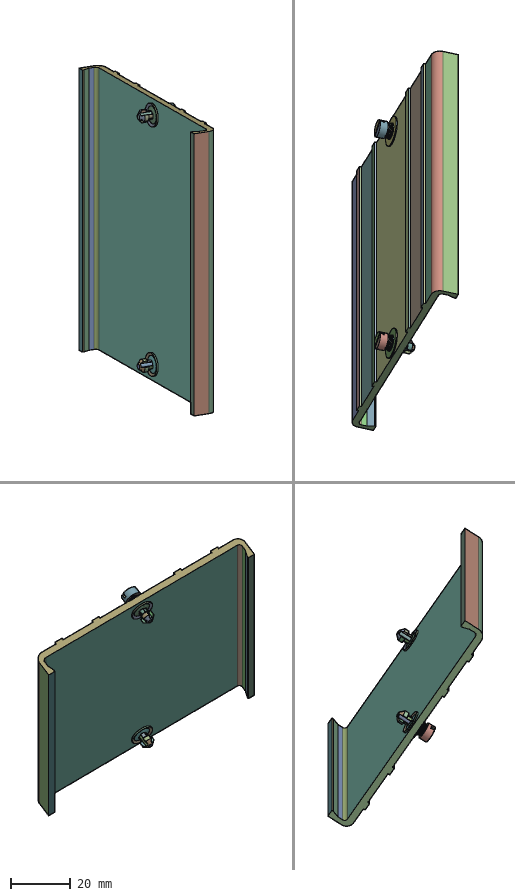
import cadquery as cq
import math

plate_width = 83.2
plate_length = 99.5
web_thickness = 2.5
channel_depth = 8.6
flange_thickness = 1.7
outer_bend_radius = 3.0
inner_bend_radius = 1.2

lip_thickness = 2.5
lip_land = 0.6
lip_ramp_start = 3.0

strip_width = 2.8
strip_height = 0.7
strip_offsets = (16.5, 31.4)

fastener_inset = 5.8
shank_radius = 2.0

washer_radius = 5.2
washer_thickness = 0.4

head_radius = 3.0
head_top = 5.3
head_height = 2.8
slot_width = 0.8
slot_depth = 1.5

neck_top_radius = 2.0
neck_base_radius = 2.9
neck_ring_count = 6
neck_ring_bulge = 0.1

collar_radius = 4.1
collar_height = 0.6
collar_valley_radius = 3.1
collar_valley_depth = 0.4

core_radius = 1.3
prong_count = 3
prong_half_angle = 32.0
prong_radius = 1.6
hook_radius = 2.3
tip_radius = 0.9
hook_start = 5.0
hook_end = 6.6
tip_end = 7.9

fastener_z = plate_length / 2 - fastener_inset
fastener_poses = (
    (fastener_z, 147.6, -4.0),
    (-fastener_z, 153.5, 89.0),
)


def make_channel():
    """Half of the U-shaped section, extruded and mirrored about X = 0."""
    side = plate_width / 2
    flange_inside = side - flange_thickness
    lip_inside = side - lip_thickness
    half = (
        cq.Workplane("XY")
        .workplane(offset=-plate_length / 2)
        .lineTo(side - outer_bend_radius, 0)
        .radiusArc((side, -outer_bend_radius), outer_bend_radius)
        .lineTo(side, -channel_depth)
        .lineTo(lip_inside, -channel_depth)
        .lineTo(lip_inside, -channel_depth + lip_land)
        .lineTo(flange_inside, -channel_depth + lip_ramp_start)
        .lineTo(flange_inside, -web_thickness - inner_bend_radius)
        .radiusArc((flange_inside - inner_bend_radius, -web_thickness), -inner_bend_radius)
        .lineTo(0, -web_thickness)
        .close()
        .extrude(plate_length)
    )
    return half.union(half.mirror("YZ"))


def make_plate():
    """Channel with its raised strips and the two fastener holes."""
    body = make_channel()
    for offset in strip_offsets:
        for x in (-offset, offset):
            strip = cq.Workplane("XY").box(
                strip_width, strip_height + web_thickness / 2, plate_length, centered=(True, False, True)
            )
            body = body.union(strip.translate((x, -web_thickness / 2, 0)))
    for z, _, _ in fastener_poses:
        hole = cq.Workplane("XZ").center(0, z).circle(shank_radius).extrude(web_thickness)
        body = body.cut(hole)
    return body


def revolve_about_y(outline):
    """Solid of revolution about the Y axis from a closed XY outline."""
    return outline.close().revolve(360, (0, 0), (0, 1))


def make_head(slot_angle):
    """Slotted head, ringed neck, washer, shank and dished collar, all coaxial."""
    head_base = head_top - head_height
    ring_height = (head_base - washer_thickness) / neck_ring_count
    ring_step = (neck_base_radius - neck_top_radius) / neck_ring_count
    collar_face = -web_thickness - collar_height

    outline = (
        cq.Workplane("XY")
        .moveTo(0, head_top)
        .lineTo(head_radius, head_top)
        .lineTo(head_radius, head_base)
        .lineTo(neck_top_radius - neck_ring_bulge, head_base)
    )
    for ring in range(neck_ring_count):
        ring_top = head_base - ring * ring_height
        root_radius = neck_top_radius - neck_ring_bulge + ring * ring_step
        outline = outline.threePointArc(
            (root_radius + ring_step / 2 + neck_ring_bulge, ring_top - ring_height / 2),
            (root_radius + ring_step, ring_top - ring_height),
        )
    outline = (
        outline.lineTo(washer_radius, washer_thickness)
        .lineTo(washer_radius, 0)
        .lineTo(shank_radius, 0)
        .lineTo(shank_radius, -web_thickness)
        .lineTo(collar_radius, -web_thickness)
        .lineTo(collar_radius, collar_face)
        .lineTo(collar_valley_radius, collar_face + collar_valley_depth)
        .lineTo(prong_radius, collar_face)
        .lineTo(0, collar_face)
    )
    slot = (
        cq.Workplane("XY")
        .box(2 * washer_radius, slot_depth, slot_width)
        .translate((0, head_top - slot_depth / 2, 0))
        .rotate((0, 0, 0), (0, 1, 0), -slot_angle)
    )
    return revolve_about_y(outline).cut(slot)


def make_tip(prong_angle):
    """Slim core carrying hooked prongs that taper to the tip."""
    root = -web_thickness - collar_height
    hooked = revolve_about_y(
        cq.Workplane("XY")
        .moveTo(0, root)
        .lineTo(prong_radius, root)
        .lineTo(prong_radius, -hook_start)
        .lineTo(hook_radius, -hook_start)
        .lineTo(hook_radius, -hook_end)
        .lineTo(tip_radius, -tip_end)
        .lineTo(0, -tip_end)
    )
    reach = 2 * hook_radius
    half_angle = math.radians(prong_half_angle)
    sector_x = reach * math.cos(half_angle)
    sector_z = reach * math.sin(half_angle)
    keep = cq.Workplane("XZ").circle(core_radius).extrude(tip_end)
    for prong in range(prong_count):
        sector = (
            cq.Workplane("XZ")
            .lineTo(sector_x, -sector_z)
            .lineTo(sector_x, sector_z)
            .close()
            .extrude(tip_end)
            .rotate((0, 0, 0), (0, 1, 0), -prong_angle - prong * 360 / prong_count)
        )
        keep = keep.union(sector)
    return hooked.intersect(keep)


def make_fastener(z, slot_angle, prong_angle):
    """One complete fastener as a single solid."""
    return make_head(slot_angle).union(make_tip(prong_angle)).translate((0, 0, z))


plate = make_plate()
fasteners = [make_fastener(*pose) for pose in fastener_poses]

result = cq.Compound.makeCompound([plate.val(), *[fastener.val() for fastener in fasteners]])